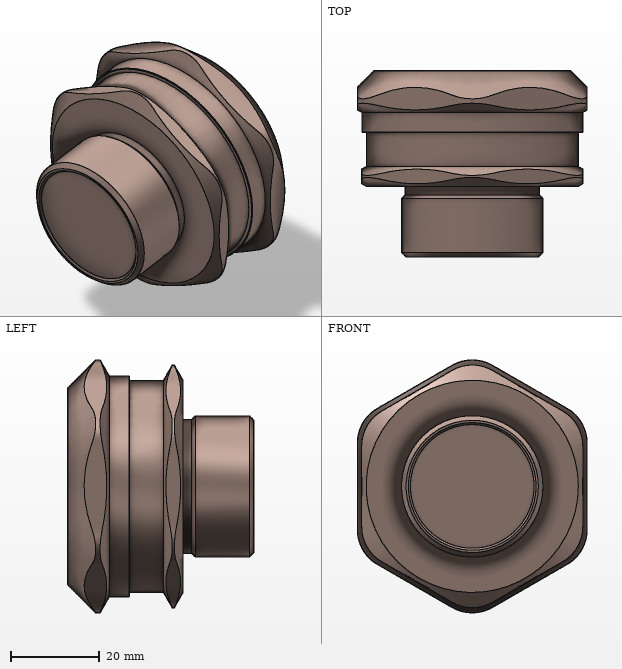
import cadquery as cq
import math


cap_flats = 52.0
nut_flats = 50.0
hex_corner_radius = 9.15
hex_bevel_angle = 30
cap_end_bevel_angle = 45
rim_clearance = 0.1

spigot_diameter = 32.0
neck_diameter = 30.4
body_diameter = 48.0
collar_diameter = 50.0
cap_end_diameter = 44.5

spigot_end = 13.25
nut_start = 16.0
nut_end = 20.5
collar_start = 28.15
cap_start = 32.7
total_length = 42.15

spigot_chamfer = 1.05
spigot_back_chamfer = (spigot_diameter - neck_diameter) / 2
collar_chamfer = 0.2
collar_lip_diameter = collar_diameter - 2 * collar_chamfer
recess_diameter = 28.9
recess_depth = 0.45


def turned(profile):
    """Revolve (radius, y) points, closed along the axis, about the Y axis."""
    outline = [(0, profile[0][1])] + profile + [(0, profile[-1][1])]
    return cq.Workplane("XY").polyline(outline).close().revolve(360, (0, 0, 0), (0, 1, 0))


def hex_prism(flats, start, end):
    """Rounded hexagonal prism along Y with two flats facing +X and -X."""
    corner_diameter = flats / math.cos(math.pi / 6)
    return (
        cq.Workplane("XZ", origin=(0, start, 0))
        .polygon(6, corner_diameter)
        .extrude(start - end)
        .rotate((0, 0, 0), (0, 1, 0), 30)
        .edges("|Y")
        .fillet(hex_corner_radius)
    )


def beveled_hex(flats, start, end, start_diameter, end_diameter, end_angle):
    """Rounded hexagon trimmed by a cone at each end; the end angle is from the end face."""
    start_radius = start_diameter / 2
    end_radius = end_diameter / 2
    start_slope = math.tan(math.radians(hex_bevel_angle))
    end_slope = math.tan(math.radians(end_angle))
    corner_loss = hex_corner_radius * (1 / math.cos(math.pi / 6) - 1)
    rim_radius = flats / math.sqrt(3) - corner_loss + rim_clearance
    profile = [
        (start_radius, start),
        (rim_radius, start + (rim_radius - start_radius) * start_slope),
        (rim_radius, end - (rim_radius - end_radius) * end_slope),
        (end_radius, end),
    ]
    return hex_prism(flats, start, end).intersect(turned(profile))


core = turned([
    (spigot_diameter / 2 - spigot_chamfer, 0),
    (spigot_diameter / 2, spigot_chamfer),
    (spigot_diameter / 2, spigot_end),
    (neck_diameter / 2, spigot_end + spigot_back_chamfer),
    (neck_diameter / 2, nut_start),
    (body_diameter / 2, nut_start),
    (body_diameter / 2, collar_start),
    (collar_lip_diameter / 2, collar_start),
    (collar_diameter / 2, collar_start + collar_chamfer),
    (collar_diameter / 2, cap_start),
    (cap_end_diameter / 2, cap_start),
    (cap_end_diameter / 2, total_length),
])

nut = beveled_hex(nut_flats, nut_start, nut_end, body_diameter, body_diameter, hex_bevel_angle)
cap = beveled_hex(
    cap_flats, cap_start, total_length, collar_diameter, cap_end_diameter, cap_end_bevel_angle
)

recess = turned([
    (recess_diameter / 2, 0),
    (recess_diameter / 2 - recess_depth, recess_depth),
])

result = core.union(nut).union(cap).cut(recess)